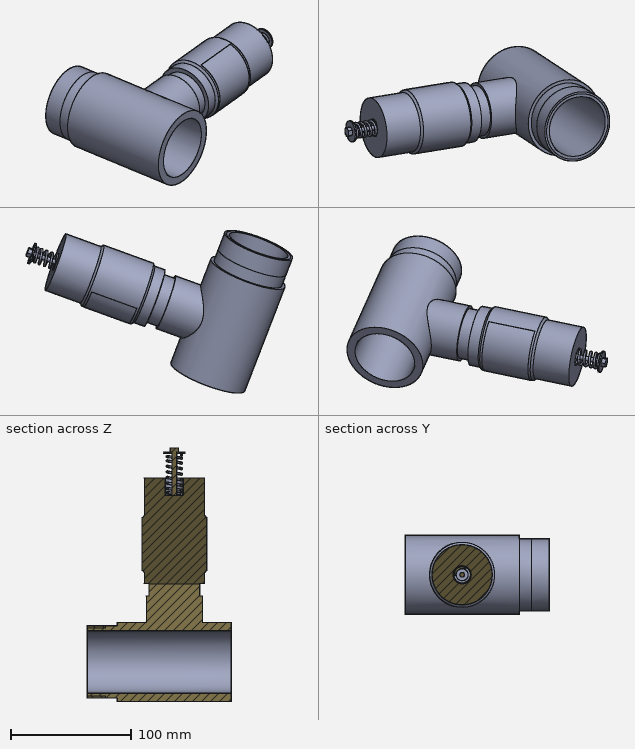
import cadquery as cq
import math

overall_length = 211.0
run_diameter = 66.0
run_length = 95.0
bore_diameter = 52.0
shoulder_diameter = 60.3
shoulder_length = 10.1
spigot_diameter = 57.0
spigot_length = 15.0
branch_diameter = 46.8
branch_end = 55.0
neck_diameter = 42.5
run_start = -run_length / 2
shoulder_start = run_start - shoulder_length
spigot_start = shoulder_start - spigot_length

valve_start = 65.2
valve_length = 87.8
valve_diameter = 50.2
grip_offset = 9.0
grip_length = 47.7
grip_diameter = 54.0
valve_end = valve_start + valve_length
grip_start = valve_start + grip_offset
grip_middle = grip_start + grip_length / 2
grip_chamfer = (grip_diameter - valve_diameter) / 2

label_length = 40.0
label_thickness = 0.2
label_edge = 7.4

head_height = 3.5
head_across_flats = 7.0
rod_diameter = 4.0
washer_thickness = 1.3
washer_diameter = 18.0
head_top = overall_length - run_diameter / 2
washer_top = head_top - head_height
washer_bottom = washer_top - washer_thickness

wire_diameter = 2.0
spring_diameter = 13.7
spring_turns = 8
end_turns = 2
end_pitch = 2.3
full_pitch = 4.6
coil_radius = (spring_diameter - wire_diameter) / 2
end_section_length = end_turns * (end_pitch + full_pitch) / 2
coil_length = 2 * end_section_length + (spring_turns - 2 * end_turns) * full_pitch
spring_length = coil_length + wire_diameter

pocket_diameter = 14.8
pocket_floor = washer_bottom - spring_length


def cylinder_x(diameter, start, length):
    return cq.Workplane("YZ", origin=(start, 0, 0)).circle(diameter / 2).extrude(length)


def cylinder_y(diameter, start, end):
    return cq.Workplane("XZ", origin=(0, start, 0)).circle(diameter / 2).extrude(start - end)


def make_tee():
    total_length = spigot_length + shoulder_length + run_length
    tee = cylinder_x(run_diameter, run_start, run_length)
    tee = tee.union(cylinder_x(shoulder_diameter, shoulder_start, shoulder_length))
    tee = tee.union(cylinder_x(spigot_diameter, spigot_start, spigot_length))
    tee = tee.union(cylinder_y(branch_diameter, 0, branch_end))
    tee = tee.union(cylinder_y(neck_diameter, branch_end, valve_start))
    return tee.cut(cylinder_x(bore_diameter, spigot_start, total_length))


def make_end_ring():
    ring = cylinder_x(shoulder_diameter, spigot_start, spigot_length)
    return ring.cut(cylinder_x(spigot_diameter, spigot_start, spigot_length))


def make_valve():
    barrel = cylinder_y(valve_diameter, valve_start, valve_end)
    grip = cylinder_y(grip_diameter, grip_start, grip_start + grip_length)
    grip = grip.edges("%CIRCLE").chamfer(grip_chamfer)
    pocket = cylinder_y(pocket_diameter, pocket_floor, valve_end)
    return barrel.union(grip).cut(pocket)


def make_label():
    start = grip_middle - label_length / 2
    end = grip_middle + label_length / 2
    shell = cylinder_y(grip_diameter + 2 * label_thickness, start, end)
    shell = shell.cut(cylinder_y(grip_diameter, start, end))
    kept_side = cq.Workplane("XY", origin=(label_edge, grip_middle, 0))
    kept_side = kept_side.box(grip_diameter, label_length, 2 * grip_diameter, centered=(False, True, True))
    return shell.intersect(kept_side)


def make_bolt():
    across_corners = head_across_flats / math.cos(math.pi / 6)
    head = cq.Workplane("XZ", origin=(0, washer_top, 0)).transformed(rotate=(0, 0, 90))
    head = head.polygon(6, across_corners).extrude(-head_height)
    return head.union(cylinder_y(rod_diameter, pocket_floor, washer_top))


def make_washer():
    washer = cylinder_y(washer_diameter, washer_bottom, washer_top)
    return washer.cut(cylinder_y(rod_diameter, washer_bottom, washer_top))


def coil_rise(turn):
    """Distance along the axis from a spring end after the given number of turns."""
    if turn > spring_turns / 2:
        return coil_length - coil_rise(spring_turns - turn)
    if turn > end_turns:
        return end_section_length + (turn - end_turns) * full_pitch
    return end_pitch * turn + (full_pitch - end_pitch) * turn ** 2 / (2 * end_turns)


def coil_point(turn):
    angle = 2 * math.pi * turn
    height = pocket_floor + wire_diameter / 2 + coil_rise(turn)
    return cq.Vector(coil_radius * math.cos(angle), height, -coil_radius * math.sin(angle))


def coil_direction(turn):
    """Tangent of the coil: change of position per turn."""
    turns_from_end = min(turn, spring_turns - turn, end_turns)
    pitch = end_pitch + (full_pitch - end_pitch) * turns_from_end / end_turns
    angle = 2 * math.pi * turn
    around = 2 * math.pi * coil_radius
    return cq.Vector(-around * math.sin(angle), pitch, -around * math.cos(angle))


def coil_turn(first_turn):
    """Centre line of one turn of the spring wire."""
    steps = 16
    fractions = [step / steps for step in range(steps + 1)]
    points = [coil_point(first_turn + fraction) for fraction in fractions]
    tangents = [coil_direction(first_turn), coil_direction(first_turn + 1)]
    return cq.Edge.makeSpline(points, tangents=tangents, parameters=fractions, scale=False)


def make_spring():
    turns = [coil_turn(turn) for turn in range(spring_turns)]
    path = cq.Workplane(cq.Wire.assembleEdges(turns))
    wire_plane = cq.Plane(origin=coil_point(0), xDir=(1, 0, 0), normal=coil_direction(0))
    return cq.Workplane(wire_plane).circle(wire_diameter / 2).sweep(path, isFrenet=True)


tee = make_tee()
end_ring = make_end_ring()
valve = make_valve()
label = make_label()
bolt = make_bolt()
washer = make_washer()
spring = make_spring()

result = cq.Compound.makeCompound([
    tee.val(),
    end_ring.val(),
    valve.val(),
    label.val(),
    bolt.val(),
    washer.val(),
    spring.val(),
])